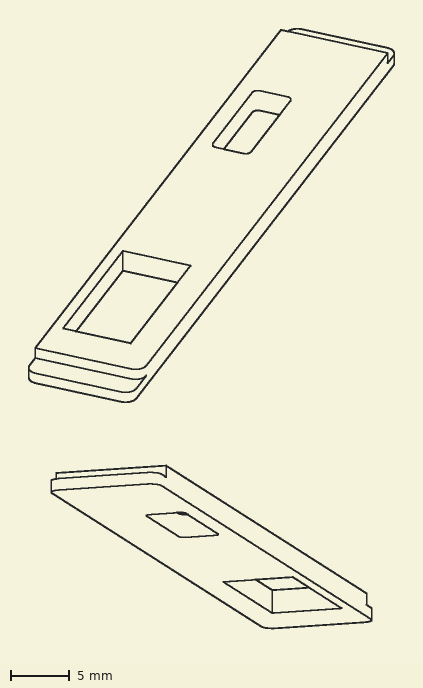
import cadquery as cq

width = 9.8
length = 59.5
base_thickness = 1.0
corner_radius = 1.0

pad_height = 1.0
tongue_length = 2.25
pad_length = length - 2 * tongue_length

slot_width = 3.5
slot_length = 9.8
slot_corner_radius = 0.5
slot_side_margin = 1.55
slot_end_margin = 11.95

window_width = 6.2
window_length = 13.4
window_side_margin = 1.0
window_end_margin = 6.05

total_thickness = base_thickness + pad_height


def block(size_x, size_y, size_z):
    """Box centred on X and Y, standing on Z = 0."""
    return cq.Workplane("XY").box(size_x, size_y, size_z, centered=(True, True, False))


def make_base():
    """Full-length plate with all four corners rounded."""
    return block(width, length, base_thickness).edges("|Z").fillet(corner_radius)


def make_pad():
    """Raised pad with only its +X, -Y corner rounded."""
    pad = block(width, pad_length, pad_height).edges("|Z and >X and <Y").fillet(corner_radius)
    return pad.translate((0, 0, base_thickness))


def make_slot():
    """Cutter for the rounded slot, placed from the -X side and the +Y end."""
    center_x = -width / 2 + slot_side_margin + slot_width / 2
    center_y = length / 2 - slot_end_margin - slot_length / 2
    slot = block(slot_width, slot_length, total_thickness).edges("|Z").fillet(slot_corner_radius)
    return slot.translate((center_x, center_y, 0))


def make_window():
    """Cutter for the rectangular window, placed from the -X side and the -Y end."""
    center_x = -width / 2 + window_side_margin + window_width / 2
    center_y = -length / 2 + window_end_margin + window_length / 2
    return block(window_width, window_length, total_thickness).translate((center_x, center_y, 0))


result = make_base().union(make_pad()).cut(make_slot()).cut(make_window())